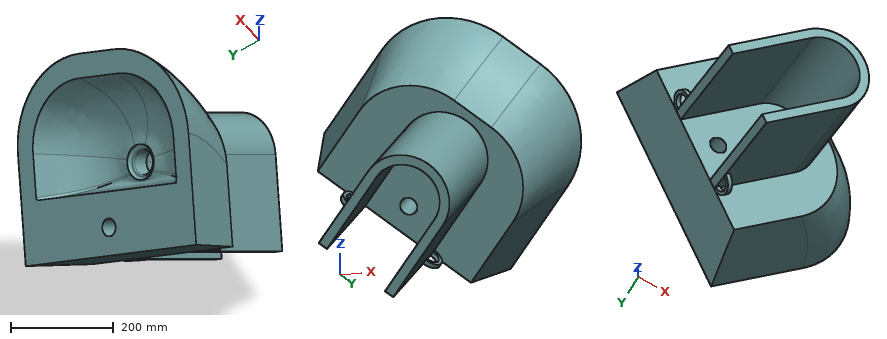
import cadquery as cq
import math


BASIN_HEIGHT = 150.0
RIM_WIDTH = 450.0
RIM_DEPTH = 400.0
BASE_WIDTH = 370.0
BASE_DEPTH = 300.0
FRONT_FLAT = 90.0
WALL_BULGE = 12.0

SIDE_RIM = 40.0
FRONT_RIM = 48.0
TAP_LEDGE = 125.0
BOWL_CORNER_RADIUS = 135.0
BOWL_BACK_RADIUS = 6.0
BOWL_DEPTH = 105.0
BOWL_STEEPNESS = 3.4
BOWL_SECTIONS = (0, 0.1, 0.25, 0.5, 1)
STRAIGHT_TOLERANCE = 1e-6

DRAIN_SETBACK = 183.0
DRAIN_LEFT_ANGLES = (142, 145, 148, 170, 193, 220, 247)
DRAIN_RECESS_DIAMETER = 70.0
DRAIN_RECESS_DEPTH = 7.0
DRAIN_RECESS_FILLET = 6.0
DRAIN_DIAMETER = 50.0
DRAIN_EDGE_RADIUS = 2.5
TAP_HOLE_DIAMETER = 35.0
TAP_HOLE_SETBACK = 55.0

PEDESTAL_WIDTH = 180.0
PEDESTAL_DEPTH = 280.0
PEDESTAL_HEIGHT = 250.0
PEDESTAL_WALL = 20.0

LUG_OUTER_DIAMETER = 55.0
LUG_HOLE_DIAMETER = 40.0
LUG_THICKNESS = 10.0

ALONG_WALL = (1 / math.sqrt(2), 1 / math.sqrt(6), -1 / math.sqrt(3))
UPRIGHT = (0, math.sqrt(2 / 3), 1 / math.sqrt(3))


def d_outline(z, width, depth, corner_radius):
    """Flat-backed outline with two rounded front corners, at height z."""
    half = width / 2
    flat = half - corner_radius
    side_end = corner_radius - depth
    inset = corner_radius * (1 - math.sqrt(0.5))
    return (
        cq.Workplane("XY", origin=(0, 0, z))
        .moveTo(-half, 0)
        .lineTo(-half, side_end)
        .threePointArc((inset - half, inset - depth), (-flat, -depth))
        .lineTo(flat, -depth)
        .threePointArc((half - inset, inset - depth), (half, side_end))
        .lineTo(half, 0)
        .close()
    )


def basin_shell():
    """Solid basin block: tapered sides, with a front that swells between rim and base."""
    mid_width = (RIM_WIDTH + BASE_WIDTH) / 2
    mid_depth = (RIM_DEPTH + BASE_DEPTH) / 2 + WALL_BULGE
    sections = [
        (0, RIM_WIDTH, RIM_DEPTH),
        (-BASIN_HEIGHT / 2, mid_width, mid_depth),
        (-BASIN_HEIGHT, BASE_WIDTH, BASE_DEPTH),
    ]
    wires = [
        d_outline(z, width, depth, (width - FRONT_FLAT) / 2).wire().val()
        for z, width, depth in sections
    ]
    return cq.Workplane(cq.Solid.makeLoft(wires))


def bowl_opening_points():
    """End and middle points of every stretch of the opening, in turn, from the left back corner
    to the front and round to the middle of the back."""
    half = RIM_WIDTH / 2 - SIDE_RIM
    back = -TAP_LEDGE
    front = FRONT_RIM - RIM_DEPTH
    flat = half - BOWL_CORNER_RADIUS
    side_start = back - BOWL_BACK_RADIUS
    side_end = front + BOWL_CORNER_RADIUS
    arc_inset = 1 - math.sqrt(0.5)
    back_inset = BOWL_BACK_RADIUS * arc_inset
    front_inset = BOWL_CORNER_RADIUS * arc_inset
    left = [
        (BOWL_BACK_RADIUS - half, back),
        (back_inset - half, back - back_inset),
        (-half, side_start),
        (-half, (side_start + side_end) / 2),
        (-half, side_end),
        (front_inset - half, front + front_inset),
        (-flat, front),
    ]
    right = [(-x, y) for x, y in reversed(left)]
    return left + [(0, front)] + right + [(0, back)]


def drain_points():
    """Points on the rim of the drain that answer to those of the opening."""
    radius = DRAIN_RECESS_DIAMETER / 2
    front_angle = 270
    back_angle = 90
    left_angles = list(DRAIN_LEFT_ANGLES)
    right_angles = [2 * front_angle - a for a in reversed(left_angles)]
    angles = left_angles + [front_angle] + right_angles + [back_angle]
    return [
        (radius * math.cos(math.radians(a)), radius * math.sin(math.radians(a)) - DRAIN_SETBACK)
        for a in angles
    ]


def bowl_section(inward):
    """Cross-section of the bowl at a fraction of the way in from the opening to the drain."""
    z = -BOWL_DEPTH * (1 - (1 - inward) ** BOWL_STEEPNESS)
    points = [
        cq.Vector(a[0] + (b[0] - a[0]) * inward, a[1] + (b[1] - a[1]) * inward, z)
        for a, b in zip(bowl_opening_points(), drain_points())
    ]
    edges = []
    for i in range(0, len(points), 2):
        start, middle, end = points[i], points[i + 1], points[(i + 2) % len(points)]
        is_straight = (middle - start).cross(end - start).Length < STRAIGHT_TOLERANCE
        if is_straight:
            edges.append(cq.Edge.makeLine(start, end))
        else:
            edges.append(cq.Edge.makeThreePointArc(start, middle, end))
    return cq.Wire.assembleEdges(edges)


def bowl():
    return cq.Workplane(cq.Solid.makeLoft([bowl_section(inward) for inward in BOWL_SECTIONS]))


def cylinder_down(diameter, setback, top, height):
    return cq.Workplane("XY", origin=(0, -setback, top)).circle(diameter / 2).extrude(-height)


def drain():
    """Recess with a rounded floor edge, and an outlet hole with its edge rounded over."""
    recess = cylinder_down(DRAIN_RECESS_DIAMETER, DRAIN_SETBACK, -BOWL_DEPTH, DRAIN_RECESS_DEPTH)
    recess = recess.faces("<Z").edges().fillet(DRAIN_RECESS_FILLET)
    recess_floor = -BOWL_DEPTH - DRAIN_RECESS_DEPTH
    outlet = cylinder_down(DRAIN_DIAMETER, DRAIN_SETBACK, recess_floor, BASIN_HEIGHT + recess_floor)
    outlet_edge = recess.union(outlet).faces("<Z[1]").edges(cq.selectors.RadiusNthSelector(0))
    return outlet_edge.fillet(DRAIN_EDGE_RADIUS)


def make_basin():
    tap_hole = cylinder_down(TAP_HOLE_DIAMETER, TAP_HOLE_SETBACK, 0, BASIN_HEIGHT)
    return basin_shell().cut(bowl()).cut(drain()).cut(tap_hole)


def make_pedestal():
    """U-shaped shroud under the basin, open towards the wall."""
    bottom = -BASIN_HEIGHT - PEDESTAL_HEIGHT
    inner_width = PEDESTAL_WIDTH - 2 * PEDESTAL_WALL
    inner_depth = PEDESTAL_DEPTH - PEDESTAL_WALL

    def u_block(width, depth):
        return (
            cq.Workplane("XY", origin=(0, 0, bottom))
            .moveTo(-width / 2, 0)
            .lineTo(-width / 2, width / 2 - depth)
            .threePointArc((0, -depth), (width / 2, width / 2 - depth))
            .lineTo(width / 2, 0)
            .close()
            .extrude(PEDESTAL_HEIGHT)
        )

    return u_block(PEDESTAL_WIDTH, PEDESTAL_DEPTH).cut(u_block(inner_width, inner_depth))


def make_lug(side):
    """Half ring on the outside of a pedestal wall; side is -1 for left and 1 for right."""
    outer = LUG_OUTER_DIAMETER / 2
    inner = LUG_HOLE_DIAMETER / 2
    return (
        cq.Workplane("XZ", origin=(side * PEDESTAL_WIDTH / 2, 0, -BASIN_HEIGHT - outer))
        .moveTo(0, outer)
        .threePointArc((side * outer, 0), (0, -outer))
        .lineTo(0, -inner)
        .threePointArc((side * inner, 0), (0, inner))
        .close()
        .extrude(LUG_THICKNESS)
    )


basin = make_basin()
pedestal = make_pedestal()
lugs = [make_lug(side) for side in (-1, 1)]

attitude = cq.Plane(origin=(0, 0, 0), xDir=ALONG_WALL, normal=UPRIGHT).location
bodies = [basin.val(), pedestal.val()] + [lug.val() for lug in lugs]
result = cq.Compound.makeCompound([body.moved(attitude) for body in bodies])